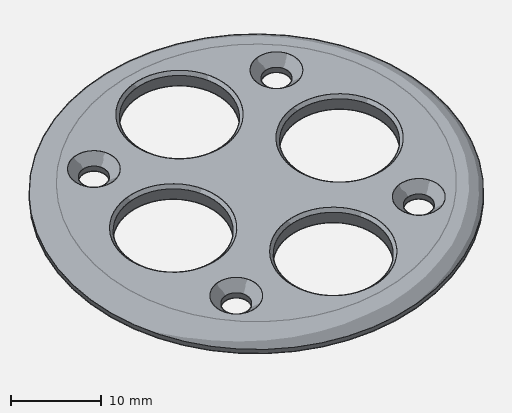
import cadquery as cq
import math

disc_diameter = 50.0
disc_thickness = 2.0
rim_width = 3.0
rim_radius = 4.0

opening_diameter = 13.2
opening_chamfer = 0.4
opening_offset_x = 13.75
opening_offset_y = 11.6

screw_diameter = 3.4
countersink_diameter = 5.8
countersink_angle = 90.0
screw_circle_diameter = 36.0
screw_count = 4
first_screw_angle = 45.0


def rounded_disc():
    """Disc with a short straight edge below a rounded rim, revolved about Z."""
    outer_radius = disc_diameter / 2
    flat_radius = outer_radius - rim_width
    arc_center_z = disc_thickness - rim_radius
    edge_height = arc_center_z + math.sqrt(rim_radius**2 - rim_width**2)
    half_angle = math.asin(rim_width / rim_radius) / 2
    arc_middle = (
        flat_radius + rim_radius * math.sin(half_angle),
        arc_center_z + rim_radius * math.cos(half_angle),
    )
    return (
        cq.Workplane("XZ")
        .lineTo(outer_radius, 0)
        .lineTo(outer_radius, edge_height)
        .threePointArc(arc_middle, (flat_radius, disc_thickness))
        .lineTo(0, disc_thickness)
        .close()
        .revolve(360, (0, 0), (0, 1))
    )


def opening_cutter():
    """Through hole with a chamfered top edge, centred on the origin."""
    bore = cq.Workplane("XY").circle(opening_diameter / 2).extrude(disc_thickness)
    chamfer = cq.Solid.makeCone(
        opening_diameter / 2,
        opening_diameter / 2 + opening_chamfer,
        opening_chamfer,
        pnt=cq.Vector(0, 0, disc_thickness - opening_chamfer),
    )
    return bore.union(cq.Workplane(obj=chamfer))


def cut_openings(body):
    cutter = opening_cutter()
    for side in (-1, 1):
        body = body.cut(cutter.translate((side * opening_offset_x, 0, 0)))
        body = body.cut(cutter.translate((0, side * opening_offset_y, 0)))
    return body


def cut_screw_holes(body):
    return (
        body.faces(">Z")
        .workplane(origin=(0, 0, disc_thickness))
        .polarArray(screw_circle_diameter / 2, first_screw_angle, 360, screw_count)
        .cskHole(screw_diameter, countersink_diameter, countersink_angle)
    )


result = cut_screw_holes(cut_openings(rounded_disc()))